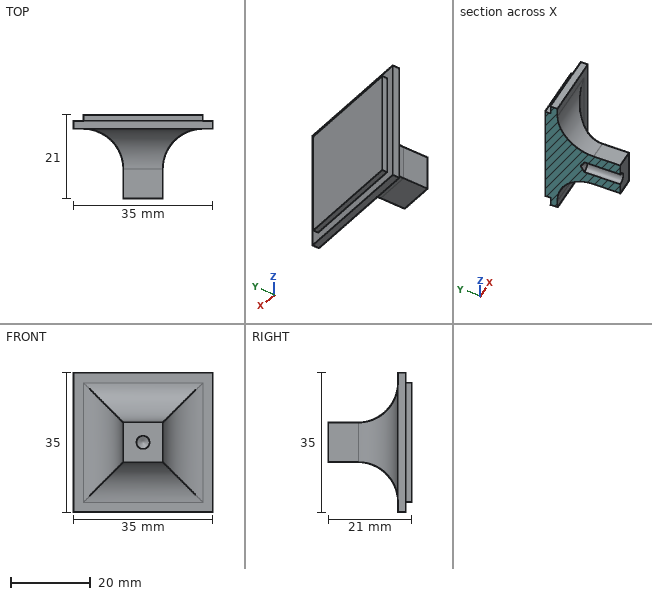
import cadquery as cq
import math

plate_side = 35.0
plate_thickness = 2.0
pad_side = 30.0
pad_thickness = 1.5
neck_side = 10.0
neck_length = 7.5
flare_radius = 10.0
hole_diameter = 3.3
hole_depth = 10.0
drill_point_angle = 118.0

pad_back = plate_thickness + pad_thickness
neck_start = -flare_radius
neck_tip = neck_start - neck_length


def square_block(side, y_start, y_end):
    """Square block centred on the Y axis, from y_start to y_end."""
    return cq.Workplane("XY").box(side, y_end - y_start, side).translate((0, (y_start + y_end) / 2, 0))


def flared_prism():
    """Prism along Z whose two sides sweep out from the neck to the plate as quarter circles."""
    half_neck = neck_side / 2
    half_base = half_neck + flare_radius
    arc_offset = flare_radius * (1 - math.sqrt(0.5))
    arc_mid_x = half_neck + arc_offset
    return (
        cq.Workplane("XY")
        .moveTo(-half_neck, neck_start)
        .lineTo(half_neck, neck_start)
        .threePointArc((arc_mid_x, -arc_offset), (half_base, 0))
        .lineTo(half_base, plate_thickness)
        .lineTo(-half_base, plate_thickness)
        .lineTo(-half_base, 0)
        .threePointArc((-arc_mid_x, -arc_offset), (-half_neck, neck_start))
        .close()
        .extrude(half_base, both=True)
    )


def flare():
    """Square flare with mitred corners: two flared prisms crossed at a right angle."""
    prism = flared_prism()
    return prism.intersect(prism.rotate((0, 0, 0), (0, 1, 0), 90))


def drilled_hole():
    """Blind hole with a conical drill point, entering from the tip of the neck."""
    radius = hole_diameter / 2
    cylinder_end = neck_tip + hole_depth
    point_end = cylinder_end + radius / math.tan(math.radians(drill_point_angle / 2))
    return (
        cq.Workplane("XY")
        .moveTo(0, neck_tip)
        .lineTo(radius, neck_tip)
        .lineTo(radius, cylinder_end)
        .lineTo(0, point_end)
        .close()
        .revolve(360, (0, 0, 0), (0, 1, 0))
    )


plate = square_block(plate_side, 0, plate_thickness)
pad = square_block(pad_side, plate_thickness, pad_back)
neck = square_block(neck_side, neck_tip, neck_start)

result = plate.union(pad).union(flare()).union(neck).cut(drilled_hole())